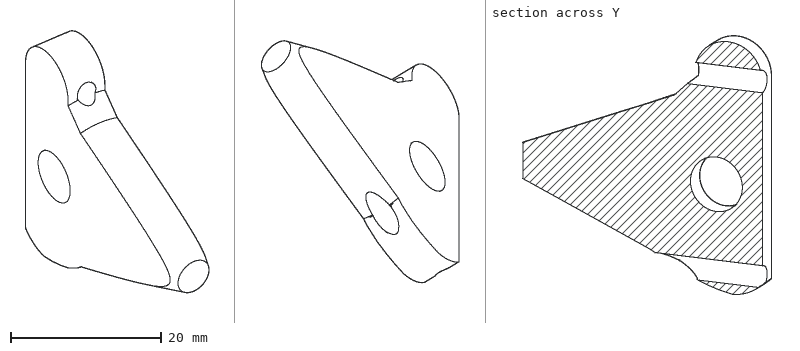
import cadquery as cq

length = 35.0
thickness = 6.0

lobe_front_x = 10.0
lobe_top_z = 20.0
lobe_radius = lobe_front_x / 2
lobe_center_z = lobe_top_z - lobe_radius

shoulder_radius = 14.43
nose_start_x = 12.85
nose_radius = 11.7
tip_radius = 2.52

foot_back_z = -13.05
foot_low_x = 4.35
foot_low_z = -15.03
foot_back_mid = (1.82, -14.4)
foot_front_mid = (7.1, -14.43)
foot_front_end = (10.0, -13.38)
foot_nose_x = 12.75
foot_nose_z = -11.63

cross_hole_x = 6.73
cross_hole_diameter = 7.5
pin_hole_diameter = 3.0
lower_pin_z = -12.05


def make_plate():
    """Slab with the lobe and foot outline, left oversize around the nose."""
    outline = (
        cq.Workplane("XZ")
        .moveTo(0, foot_back_z)
        .lineTo(0, lobe_center_z)
        .threePointArc((lobe_radius, lobe_top_z), (lobe_front_x, lobe_center_z))
        .lineTo(lobe_front_x, shoulder_radius)
        .lineTo(length, shoulder_radius)
        .lineTo(length, -shoulder_radius)
        .lineTo(foot_nose_x, -shoulder_radius)
        .lineTo(foot_nose_x, foot_nose_z)
        .lineTo(*foot_front_end)
        .threePointArc(foot_front_mid, (foot_low_x, foot_low_z))
        .threePointArc(foot_back_mid, (0, foot_back_z))
        .close()
    )
    return outline.extrude(thickness / 2, both=True)


def make_nose_envelope():
    """Shoulder and nose cones turned about the X axis."""
    return (
        cq.Workplane("XZ")
        .moveTo(lobe_front_x, 0)
        .lineTo(lobe_front_x, shoulder_radius)
        .lineTo(nose_start_x, nose_radius)
        .lineTo(length, tip_radius)
        .lineTo(length, 0)
        .close()
        .revolve(360, (0, 0, 0), (1, 0, 0))
    )


def make_back_envelope():
    """Block enclosing the flat-sided region behind the turned nose."""
    return cq.Workplane("XY").box(
        lobe_front_x, thickness, 2 * lobe_top_z, centered=(False, True, True)
    )


def make_pin_hole(height):
    """Cutter running the full length of the part along X."""
    return cq.Workplane("YZ").center(0, height).circle(pin_hole_diameter / 2).extrude(length)


plate = make_plate()
back = plate.intersect(make_back_envelope())
nose = plate.intersect(make_nose_envelope())
body = back.union(nose)

cross_hole = (
    cq.Workplane("XZ")
    .center(cross_hole_x, 0)
    .circle(cross_hole_diameter / 2)
    .extrude(thickness, both=True)
)
body = body.cut(cross_hole)

for pin_z in (lobe_center_z, lower_pin_z):
    body = body.cut(make_pin_hole(pin_z))

result = body